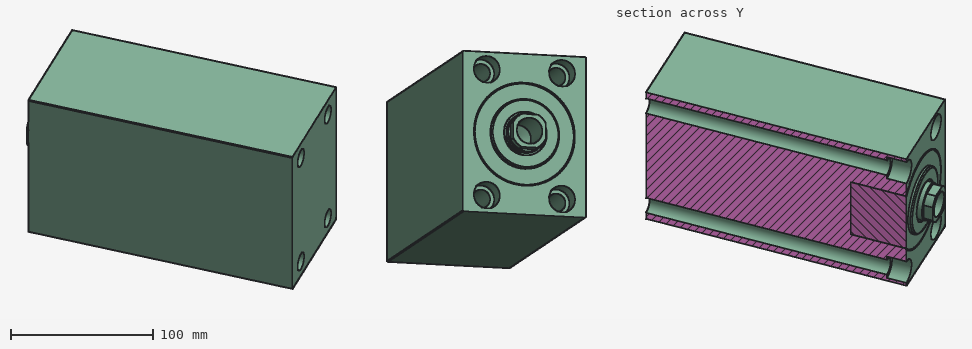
import cadquery as cq
import math


TOTAL_LENGTH = 211.5
ROD_PROTRUSION = 13.5

HOUSING_LENGTH = TOTAL_LENGTH - ROD_PROTRUSION
HOUSING_WIDTH = 90.0
HOUSING_HEIGHT = 115.0
HOUSING_CHAMFER = 0.6
BOLT_SPACING_Y = 55.0
BOLT_SPACING_Z = 90.0
BOLT_HOLE_DIAMETER = 13.1
COUNTERBORE_DIAMETER = 19.0
COUNTERBORE_DEPTH = 14.8

GLAND_DIAMETER = 72.3
GLAND_DEPTH = 42.3
GLAND_SEAT_CHAMFER = 0.8
SEAT_TAPER = 45.0
COLLAR_DIAMETER = 50.0
COLLAR_HEIGHT = 3.0
COLLAR_CHAMFER = 1.0
WIPER_RECESS_DIAMETER = 31.3
WIPER_RECESS_DEPTH = 1.0

ROD_DIAMETER = 28.0
ROD_CHAMFER = 0.5
TIP_LENGTH = 7.0
TIP_DIAMETER = 26.5
TIP_ACROSS_FLATS = 23.7
TAP_HOLE_DIAMETER = 18.6
TAP_HOLE_DEPTH = 29.6
DRILL_POINT_ANGLE = 118.0


def disc(start_x, length, diameter):
    """Round bar along +X, centred on the stroke axis."""
    return cq.Workplane("YZ", origin=(start_x, 0, 0)).circle(diameter / 2).extrude(length)


def make_housing():
    block = (
        cq.Workplane("YZ")
        .rect(HOUSING_WIDTH, HOUSING_HEIGHT)
        .extrude(HOUSING_LENGTH)
        .edges("|X")
        .chamfer(HOUSING_CHAMFER)
    )
    bolt_pattern = cq.Workplane("YZ").rect(BOLT_SPACING_Y, BOLT_SPACING_Z, forConstruction=True).vertices()
    bolt_holes = bolt_pattern.circle(BOLT_HOLE_DIAMETER / 2).extrude(HOUSING_LENGTH)
    counterbores = bolt_pattern.circle(COUNTERBORE_DIAMETER / 2).extrude(COUNTERBORE_DEPTH)
    gland_seat = disc(0, GLAND_DEPTH, GLAND_DIAMETER)
    seat_mouth = (
        cq.Workplane("YZ")
        .circle(GLAND_DIAMETER / 2 + GLAND_SEAT_CHAMFER)
        .extrude(GLAND_SEAT_CHAMFER, taper=SEAT_TAPER)
    )
    return block.cut(bolt_holes).cut(counterbores).cut(gland_seat).cut(seat_mouth)


def make_gland():
    plug = disc(0, GLAND_DEPTH, GLAND_DIAMETER)
    collar = disc(-COLLAR_HEIGHT, COLLAR_HEIGHT, COLLAR_DIAMETER).faces("<X").chamfer(COLLAR_CHAMFER)
    rod_bore = disc(-COLLAR_HEIGHT, COLLAR_HEIGHT + GLAND_DEPTH, ROD_DIAMETER)
    wiper_recess = disc(-COLLAR_HEIGHT, WIPER_RECESS_DEPTH, WIPER_RECESS_DIAMETER)
    return plug.union(collar).cut(rod_bore).cut(wiper_recess)


def make_rod():
    tip_x = -ROD_PROTRUSION
    shoulder_x = tip_x + TIP_LENGTH
    shank = disc(shoulder_x, GLAND_DEPTH - shoulder_x, ROD_DIAMETER).faces("<X").chamfer(ROD_CHAMFER)
    flats = (
        cq.Workplane("YZ", origin=(tip_x, 0, 0))
        .rect(TIP_ACROSS_FLATS, TIP_ACROSS_FLATS)
        .extrude(TIP_LENGTH)
    )
    tip = disc(tip_x, TIP_LENGTH, TIP_DIAMETER).intersect(flats)
    return shank.union(tip).cut(make_tap_hole(tip_x))


def make_tap_hole(tip_x):
    """Blind drilled hole with a conical bottom, as a solid to cut from the rod tip."""
    radius = TAP_HOLE_DIAMETER / 2
    point_length = radius / math.tan(math.radians(DRILL_POINT_ANGLE / 2))
    shoulder_x = tip_x + TAP_HOLE_DEPTH
    return (
        cq.Workplane("XY")
        .moveTo(tip_x, 0)
        .lineTo(tip_x, radius)
        .lineTo(shoulder_x, radius)
        .lineTo(shoulder_x + point_length, 0)
        .close()
        .revolve(360, (0, 0, 0), (1, 0, 0))
    )


housing = make_housing()
gland = make_gland()
rod = make_rod()

result = cq.Compound.makeCompound([housing.val(), gland.val(), rod.val()])